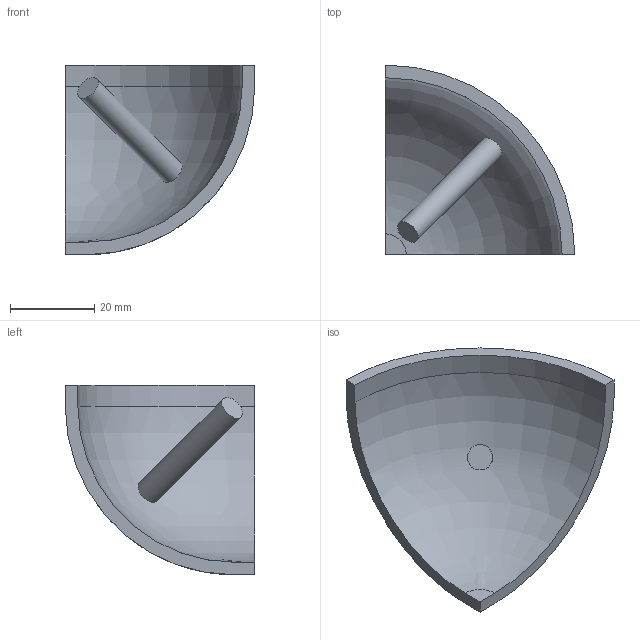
import cadquery as cq
import math

outer_radius = 45.0
wall = 3.0
rim_height = 5.0
floor_radius = 5.0
rod_diameter = 6.0
rod_start = 9.3

inner_radius = outer_radius - wall
quarter_turn = 90.0


def arc_middle(radius):
    """Midpoint of the round stretch whose outermost reach is the given radius."""
    bend_reach = (radius - rim_height) * math.sin(math.radians(45))
    return (floor_radius + bend_reach, -rim_height - bend_reach)


def make_bowl():
    """Quarter of a round-bottomed bowl, open at the top and at both cut sides."""
    profile = (
        cq.Workplane("XZ")
        .moveTo(0, -outer_radius)
        .lineTo(floor_radius, -outer_radius)
        .threePointArc(arc_middle(outer_radius), (outer_radius, -rim_height))
        .lineTo(outer_radius, 0)
        .lineTo(inner_radius, 0)
        .lineTo(inner_radius, -rim_height)
        .threePointArc(arc_middle(inner_radius), (floor_radius, -inner_radius))
        .lineTo(0, -inner_radius)
        .close()
    )
    return profile.revolve(quarter_turn, (0, 0, 0), (0, 1, 0))


def wall_distance():
    """Distance from the bowl's centre to the inner wall along the (1, 1, -1) diagonal.

    A point (t, t, -t) lies on the round inner wall when
    (sqrt(2) t - floor_radius)^2 + (t - rim_height)^2 = bend_radius^2.
    """
    bend_radius = inner_radius - rim_height
    a = 3.0
    half_b = math.sqrt(2) * floor_radius + rim_height
    c = floor_radius**2 + rim_height**2 - bend_radius**2
    t = (half_b + math.sqrt(half_b**2 - a * c)) / a
    return math.sqrt(3) * t


def make_rod():
    """Round rod on the bowl's diagonal, its root sunk halfway into the wall."""
    direction = cq.Vector(1, 1, -1).normalized()
    rod_end = wall_distance() + wall / 2
    return cq.Workplane(
        cq.Solid.makeCylinder(
            rod_diameter / 2,
            rod_end - rod_start,
            direction * rod_start,
            direction,
        )
    )


result = make_bowl().union(make_rod())